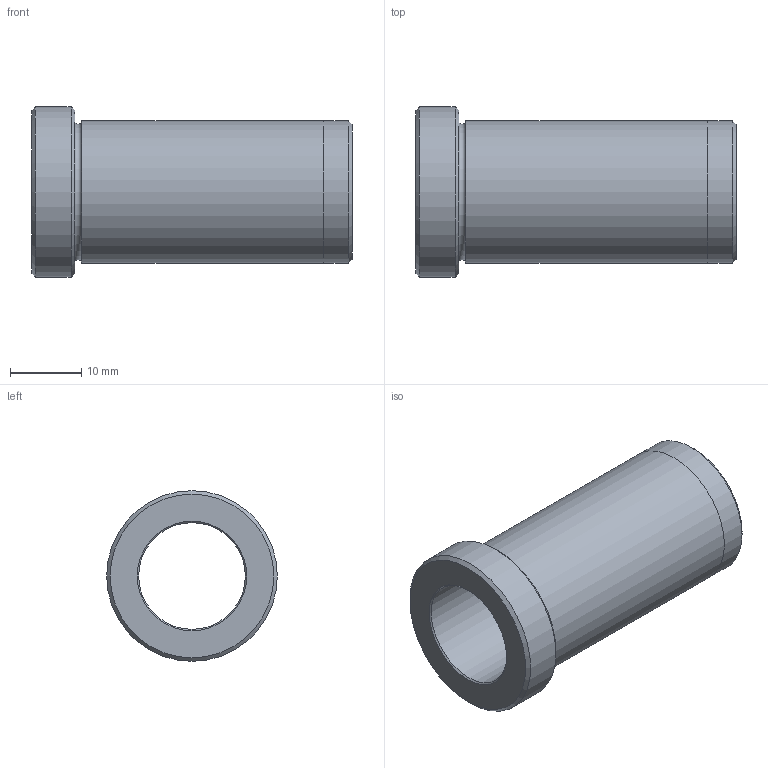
import cadquery as cq

total_length = 45.0
head_length = 6.0
head_radius = 24.0 / 2
body_radius = 20.0 / 2
bore_radius = 15.0 / 2

outer_chamfer = 0.5
bore_chamfer = 0.2

undercut_width = 1.0
undercut_head_depth = 0.15
undercut_depth = 0.5

lead_length = 4.0


def make_outer_solid():
    """Revolve the head, the undercut and the body about the X axis."""
    undercut_end = head_length + undercut_width
    lead_start = total_length - lead_length
    profile = (
        cq.Workplane("XY")
        .lineTo(0, head_radius - outer_chamfer)
        .lineTo(outer_chamfer, head_radius)
        .lineTo(head_length - outer_chamfer, head_radius)
        .lineTo(head_length, head_radius - outer_chamfer)
        .lineTo(head_length, body_radius - undercut_head_depth)
        .threePointArc(
            (head_length + undercut_width / 2, body_radius - undercut_depth),
            (undercut_end, body_radius),
        )
        .lineTo(lead_start, body_radius)
        .lineTo(total_length - outer_chamfer, body_radius)
        .lineTo(total_length, body_radius - outer_chamfer)
        .lineTo(total_length, 0)
        .close()
    )
    return profile.revolve(360, (0, 0, 0), (1, 0, 0), clean=False)


def make_bore():
    """Through bore with a small chamfer at the head end."""
    profile = (
        cq.Workplane("XY")
        .lineTo(0, bore_radius + bore_chamfer)
        .lineTo(bore_chamfer, bore_radius)
        .lineTo(total_length, bore_radius)
        .lineTo(total_length, 0)
        .close()
    )
    return profile.revolve(360, (0, 0, 0), (1, 0, 0), clean=False)


result = make_outer_solid().cut(make_bore(), clean=False)